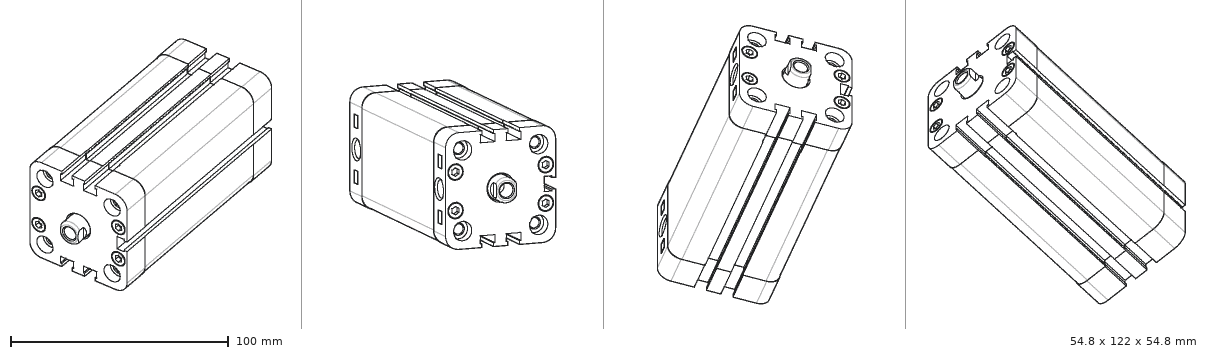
import cadquery as cq
import math


cap_size = 54.8
cap_corner_radius = 6.6
cap_length = 14.4
length = 114.8
body_inset = 0.1
body_corner_radius = 6.8
half_size = cap_size / 2

rod_diameter = 12.0
rod_projection = 7.2
rod_tip_fillet = 1.2
rod_flats_width = 9.9
rod_flat_length = 4.1
rod_bore_diameter = 6.6
rod_bore_mouth = 7.7
rod_bore_depth = 11.0
rod_bore_tip_angle = 118
rod_seat_diameter = 12.5
rod_seat_depth = 2.5
rod_seat_chamfer = 0.6

mount_offset = 18.9
mount_hole_diameter = 4.9
mount_counterbore_diameter = 9.0
mount_counterbore_depth = 5.0
mount_countersink = 0.5

screw_x = 22.5
screw_z = 9.0
screw_recess_diameter = 7.7
screw_recess_depth = 1.2
screw_head_diameter = 7.5
screw_head_chamfer = 0.2
screw_hex_corners = 3.9
screw_hex_depth = 2.5

cap_slot_offset = 6.5
body_slot_offset = 6.3
cap_slot_depth = 5.6
body_slot_depth = 5.5
slot_lip = 1.8
cap_slot_mouth = 5.9
cap_slot_width = 7.3
body_slot_mouth = 5.6
body_slot_width = 6.6
slot_entry_length = 5.5
side_slot_mouth = 5.5
side_slot_width = 7.1

port_inset = 7.8
port_diameter = 8.5
port_chamfer = 1.0
port_depth = 8.0
passage_diameter = 3.0
passage_inset = 9.9
passage_depth = 4.9
label_offset = 13.0
label_length = 4.0
label_height = 6.1
label_depth = 0.2


def cylinder_y(diameter, y_start, y_end, x=0, z=0):
    """Cylinder along Y between two stations."""
    start = cq.Vector(x, y_start, z)
    return cq.Workplane(cq.Solid.makeCylinder(diameter / 2, y_end - y_start, start, cq.Vector(0, 1, 0)))


def cone_y(diameter_start, diameter_end, y_start, y_end, x=0, z=0):
    """Cone along Y that changes from one diameter to another."""
    start = cq.Vector(x, y_start, z)
    radius_start = diameter_start / 2
    radius_end = diameter_end / 2
    return cq.Workplane(
        cq.Solid.makeCone(radius_start, radius_end, y_end - y_start, start, cq.Vector(0, 1, 0))
    )


def box_between(x_start, x_end, y_start, y_end, z_start, z_end):
    """Box given by its limits on the three axes."""
    size = (x_end - x_start, y_end - y_start, z_end - z_start)
    return cq.Workplane().box(*size, centered=False).translate((x_start, y_start, z_start))


def rounded_block(size, radius, y_start, y_end):
    """Square block along Y with rounded long edges."""
    half = size / 2
    return box_between(-half, half, y_start, y_end, -half, half).edges("|Y").fillet(radius)


def t_slot(mouth, width, depth, x, y_start, y_end):
    """T-slot cutter along Y that opens to the +Z side."""
    floor = half_size - depth
    lip_bottom = half_size - slot_lip
    wide_part = box_between(x - width / 2, x + width / 2, y_start, y_end, floor, lip_bottom)
    narrow_part = box_between(x - mouth / 2, x + mouth / 2, y_start, y_end, floor, half_size)
    return wide_part.union(narrow_part)


def make_housing():
    """Body between two slightly larger caps."""
    body_start = cap_length
    body_end = length - cap_length
    body_size = cap_size - 2 * body_inset
    body = rounded_block(body_size, body_corner_radius, body_start, body_end)
    front_cap = rounded_block(cap_size, cap_corner_radius, 0, body_start)
    rear_cap = rounded_block(cap_size, cap_corner_radius, body_end, length)
    return body.union(front_cap).union(rear_cap)


def cut_slots(part):
    """Two T-slots on the top and the bottom, one on the +X side."""
    entry_end = cap_length + slot_entry_length
    rear_cap_start = length - cap_length
    for side in (-1, 1):
        body_x = side * body_slot_offset
        cap_x = side * cap_slot_offset
        slot = t_slot(body_slot_mouth, body_slot_width, body_slot_depth, body_x, 0, length)
        for y_start, y_end in ((0, entry_end), (rear_cap_start, length)):
            slot = slot.union(t_slot(cap_slot_mouth, cap_slot_width, cap_slot_depth, cap_x, y_start, y_end))
        part = part.cut(slot).cut(slot.mirror("XY"))
    side_slot = t_slot(side_slot_mouth, side_slot_width, cap_slot_depth, 0, 0, length)
    return part.cut(side_slot.rotate((0, 0, 0), (0, 1, 0), 90))


def cut_mount_holes(part):
    """Counterbored and countersunk through holes in the four corners."""
    countersink_diameter = mount_hole_diameter + 2 * mount_countersink
    countersink_end = mount_counterbore_depth + mount_countersink
    for x in (-mount_offset, mount_offset):
        for z in (-mount_offset, mount_offset):
            hole = cylinder_y(mount_hole_diameter, 0, length, x, z)
            counterbore = cylinder_y(mount_counterbore_diameter, 0, mount_counterbore_depth, x, z)
            countersink = cone_y(
                countersink_diameter, mount_hole_diameter, mount_counterbore_depth, countersink_end, x, z
            )
            part = part.cut(hole).cut(counterbore).cut(countersink)
    return part


def add_screws(part):
    """Socket screws whose heads fill round recesses of the front face."""
    for x in (-screw_x, screw_x):
        for z in (-screw_z, screw_z):
            recess = cylinder_y(screw_recess_diameter, 0, screw_recess_depth, x, z)
            head = cylinder_y(screw_head_diameter, 0, screw_recess_depth, x, z)
            head = head.faces("<Y").chamfer(screw_head_chamfer)
            socket = (
                cq.Workplane("XZ")
                .polygon(6, screw_hex_corners)
                .extrude(-screw_hex_depth)
                .rotate((0, 0, 0), (0, 1, 0), 90)
                .translate((x, 0, z))
            )
            part = part.cut(recess).union(head).cut(socket)
    return part


def cut_rod_seat(part):
    """Chamfered clearance around the rod."""
    mouth_diameter = rod_seat_diameter + 2 * rod_seat_chamfer
    seat = cylinder_y(rod_seat_diameter, 0, rod_seat_depth)
    return part.cut(seat).cut(cone_y(mouth_diameter, rod_seat_diameter, 0, rod_seat_chamfer))


def make_rod():
    """Rod end with a rounded tip and two wrench flats."""
    rod = cylinder_y(rod_diameter, -rod_projection, rod_seat_depth).faces("<Y").edges().fillet(rod_tip_fillet)

    flat_end = rod_flat_length - rod_projection
    flat_x = rod_flats_width / 2
    flat_run_out = rod_diameter - flat_x
    flat_cutter = (
        cq.Workplane("XY")
        .moveTo(flat_x, -rod_projection)
        .lineTo(flat_x, flat_end)
        .lineTo(rod_diameter, flat_end + flat_run_out)
        .lineTo(rod_diameter, -rod_projection)
        .close()
        .extrude(rod_diameter, both=True)
    )
    return rod.cut(flat_cutter).cut(flat_cutter.mirror("YZ"))


def cut_rod_bore(part):
    """Blind drilled bore with a countersunk mouth and a conical bottom."""
    mouth_depth = (rod_bore_mouth - rod_bore_diameter) / 2
    tip_length = rod_bore_diameter / 2 / math.tan(math.radians(rod_bore_tip_angle / 2))
    bore_start = -rod_projection
    bore_end = bore_start + rod_bore_depth
    bore = cylinder_y(rod_bore_diameter, bore_start, bore_end)
    mouth = cone_y(rod_bore_mouth, rod_bore_diameter, bore_start, bore_start + mouth_depth)
    tip = cone_y(rod_bore_diameter, 0, bore_end, bore_end + tip_length)
    return part.cut(bore).cut(mouth).cut(tip)


def drill_side(diameter, depth, y, x_start):
    """Cylinder that runs in the +X direction."""
    return cq.Workplane(
        cq.Solid.makeCylinder(diameter / 2, depth, cq.Vector(x_start, y, 0), cq.Vector(1, 0, 0))
    )


def cut_ports(part):
    """Chamfered air port with an off-centre passage in each cap."""
    port_and_passage = ((port_inset, passage_inset), (length - port_inset, length - passage_inset))
    for port_y, passage_y in port_and_passage:
        port = drill_side(port_diameter, port_depth, port_y, -half_size)
        mouth = cq.Workplane(
            cq.Solid.makeCone(
                port_diameter / 2 + port_chamfer,
                port_diameter / 2,
                port_chamfer,
                cq.Vector(-half_size, port_y, 0),
                cq.Vector(1, 0, 0),
            )
        )
        passage = drill_side(passage_diameter, passage_depth, passage_y, port_depth - half_size)
        part = part.cut(port).cut(mouth).cut(passage)
    return part


def cut_label_pockets(part):
    """Shallow rectangular pockets above and below each port."""
    for y in (cap_length / 2, length - cap_length / 2):
        for z in (-label_offset, label_offset):
            pocket = cq.Workplane().box(2 * label_depth, label_length, label_height)
            part = part.cut(pocket.translate((-half_size, y, z)))
    return part


result = make_housing()
result = cut_slots(result)
result = cut_mount_holes(result)
result = add_screws(result)
result = cut_rod_seat(result)
result = result.union(make_rod())
result = cut_rod_bore(result)
result = cut_ports(result)
result = cut_label_pockets(result)